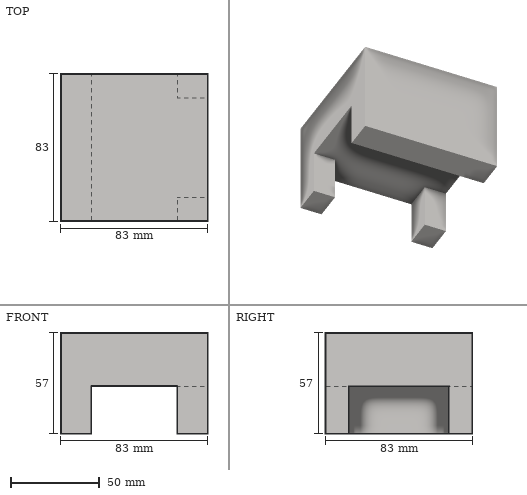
import cadquery as cq

side = 83.0
height = 57.0

wall_thickness = 17.3
channel_height = 27.0
channel_width = side - 2 * wall_thickness

leg_depth = 13.3
opening_width = side - 2 * leg_depth
opening_reach = side / 2


def block():
    """Square block centred on the Z axis and standing on Z = 0."""
    return cq.Workplane("XY").box(side, side, height, centered=(True, True, False))


def channel():
    """Cutter for the channel that runs the full length of the block."""
    return cq.Workplane("XY").box(channel_width, side, channel_height, centered=(True, True, False))


def side_opening():
    """Cutter from the middle of the channel out through the +X wall."""
    return cq.Workplane("XY").box(opening_reach, opening_width, channel_height, centered=(False, True, False))


result = block().cut(channel()).cut(side_opening())